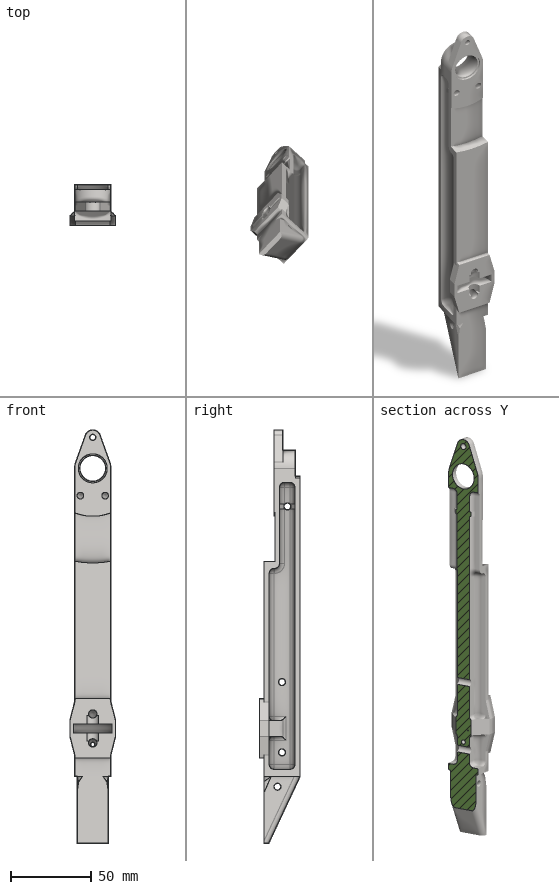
import cadquery as cq
import math

LENGTH = 257.2

bar_width = 22.6
bar_depth = 22.6
half_width = bar_width / 2
bar_bottom = 41.7
tip_face = 6.2
recess_face = 7.0
recess_bottom = 174.4

bore_z = 233.2
bore_radius = 8.0
counterbore_radius = 9.0
counterbore_depth = 1.3
knuckle_back = 19.5
washer_radius = 29.8
lug_back = 11.8
lug_radius = 5.0
lug_hole_z = 252.5
lug_hole_radius = 1.8
shoulder_radius = 10.8
shoulder_outer_z = 227.3
shoulder_tip_z = 228.4

blind_x = 7.7
blind_z = 216.3
blind_radius = 2.0
blind_depth = 1.8
drill_half_angle = 59.0

rim = 3.3
recess_rim = 2.8
web_half = 4.6
pocket_fillet = 3.0
pocket_top = 224.5
pocket_bottom = 46.0
gusset_z = 209.5
gusset_width = 3.0
gusset_leg = 2.8

cross_hole_radius = 2.0
cross_holes = [(14.7, gusset_z), (11.3, 100.3), (11.3, 56.5), (8.5, 35.2)]

foot_half_width = 9.8
foot_toe = 3.0
foot_fillet = 3.3
notch_x = 3.3
notch_bend_x = 1.0
notch_bend_z = 3.3
notch_y = 4.6
notch_z = 10.3

plate_z = 71.5
plate_front = -2.8
plate_back = 3.0
plate_half_width = 14.27
plate_end_half_width = 10.8
plate_half_height = 18.5
housing_half_height = 5.0
housing_fillet = 2.5
pick_margin = 0.03
roller_radius = 12.0
roller_half_height = 2.8
axle_radius = 3.5
axle_half_length = 8.0
pin_radius = 2.5
pin_offset = 9.0
pin_depth = 10.3
drain_radius = 1.3
drain_offset = 10.0


def extrude_y(outline, y_start, y_end):
    """Extrude a closed outline drawn in X and Z from y_start to y_end."""
    return outline.extrude(y_start - y_end).translate((0, y_start, 0))


def xz():
    return cq.Workplane("XZ")


def y_cylinder(x, z, radius, y_start, y_end):
    return extrude_y(xz().center(x, z).circle(radius), y_start, y_end)


def make_bar():
    """Round-topped bar, stepped at the front and back by arcs about the bore."""
    bar = extrude_y(
        xz()
        .moveTo(-half_width, bar_bottom)
        .lineTo(half_width, bar_bottom)
        .lineTo(half_width, bore_z)
        .threePointArc((0, bore_z + half_width), (-half_width, bore_z))
        .close(),
        0,
        bar_depth,
    )
    step_radius = bore_z - recess_bottom
    front_step = y_cylinder(0, bore_z, step_radius, 0, recess_face)
    washer = y_cylinder(0, bore_z, washer_radius, tip_face, recess_face)
    return bar.cut(front_step.cut(washer)).cut(make_back_step())


def make_back_step():
    """Space above the back of the bar: a round clearance between two bevelled tips."""
    tip_x = math.sqrt(shoulder_radius**2 - (bore_z - shoulder_tip_z) ** 2)
    outline = (
        xz()
        .moveTo(-half_width, shoulder_outer_z)
        .lineTo(-tip_x, shoulder_tip_z)
        .threePointArc((0, bore_z - shoulder_radius), (tip_x, shoulder_tip_z))
        .lineTo(half_width, shoulder_outer_z)
        .lineTo(half_width, LENGTH)
        .lineTo(-half_width, LENGTH)
        .close()
    )
    return extrude_y(outline, knuckle_back, bar_depth)


def make_lug():
    lug_z = LENGTH - lug_radius
    slope = math.asin((half_width - lug_radius) / (lug_z - bore_z))
    side, rise = math.cos(slope), math.sin(slope)
    outline = (
        xz()
        .moveTo(half_width * side, bore_z + half_width * rise)
        .lineTo(lug_radius * side, lug_z + lug_radius * rise)
        .threePointArc((0, LENGTH), (-lug_radius * side, lug_z + lug_radius * rise))
        .lineTo(-half_width * side, bore_z + half_width * rise)
        .close()
    )
    return extrude_y(outline, tip_face, lug_back)


def make_foot():
    foot = (
        cq.Workplane("YZ")
        .polyline([(0, 0), (foot_toe, 0), (bar_depth, bar_bottom), (0, bar_bottom)])
        .close()
        .extrude(foot_half_width, both=True)
    )
    foot = foot.edges(cq.selectors.ParallelDirSelector(
        cq.Vector(0, bar_depth - foot_toe, bar_bottom)
    )).fillet(foot_fillet)
    for side in (-1, 1):
        edge_x = side * foot_half_width
        corner = (edge_x, 0, bar_bottom)
        inner = (edge_x - side * notch_x, 0, bar_bottom)
        bend = (edge_x - side * notch_bend_x, 0, bar_bottom - notch_bend_z)
        lower = (edge_x, 0, bar_bottom - notch_z)
        rear = (edge_x, notch_y, bar_bottom)
        foot = foot.cut(tetrahedron(corner, inner, bend, rear))
        foot = foot.cut(tetrahedron(corner, bend, lower, rear))
    return foot


def tetrahedron(a, b, c, d):
    faces = []
    for corners in ((a, b, c), (a, b, d), (a, c, d), (b, c, d)):
        points = [cq.Vector(*corner) for corner in corners]
        faces.append(cq.Face.makeFromWires(cq.Wire.makePolygon(points, close=True)))
    return cq.Workplane(cq.Solid.makeSolid(cq.Shell.makeShell(faces)))


def make_plate():
    right = [
        (plate_end_half_width, -plate_half_height),
        (plate_half_width, -housing_half_height),
        (plate_half_width, housing_half_height),
        (plate_end_half_width, plate_half_height),
    ]
    left = [(-x, z) for x, z in reversed(right)]
    outline = xz().center(0, plate_z).polyline(right + left).close()
    return extrude_y(outline, plate_front, plate_back)


def make_housing():
    """Block with 45 degree flanks that carries the roller slot into the bar."""
    nose_half_width = web_half / 2
    nose = plate_back + plate_half_width - nose_half_width
    return (
        cq.Workplane("XY")
        .workplane(offset=plate_z)
        .polyline([
            (-plate_half_width, 0),
            (plate_half_width, 0),
            (plate_half_width, plate_back),
            (nose_half_width, nose),
            (-nose_half_width, nose),
            (-plate_half_width, plate_back),
        ])
        .close()
        .extrude(housing_half_height, both=True)
    )


def make_pocket(side, housing):
    """Side pocket, rounded at its floor and where the housing stands in it."""
    front_wall = recess_face + recess_rim
    back_wall = bar_depth - rim
    pocket = (
        cq.Workplane("YZ")
        .workplane(offset=side * web_half)
        .polyline([
            (back_wall, pocket_bottom),
            (back_wall, pocket_top),
            (front_wall, pocket_top),
            (front_wall, recess_bottom - rim),
            (rim, recess_bottom - rim),
            (rim, pocket_bottom),
        ])
        .close()
        .extrude(side * (half_width - web_half))
    )
    floor = "<X" if side > 0 else ">X"
    pocket = pocket.edges("|X").add(pocket.faces(floor).edges()).fillet(pocket_fillet).cut(housing)

    reach = housing_half_height + pick_margin
    housing_edges = [
        edge for edge in pocket.faces(floor).edges().vals()
        if abs(edge.Center().z - plate_z) < reach and edge.Length() < 2 * reach
    ]
    pocket = pocket.newObject(housing_edges).fillet(housing_fillet)
    return pocket.cut(make_gusset(side, front_wall, 1)).cut(make_gusset(side, back_wall, -1))


def make_gusset(side, wall, inward):
    """Flat 45 degree strip between the pocket's floor and a wall, beside the top cross hole."""
    floor_x = side * web_half
    return (
        cq.Workplane("XY")
        .workplane(offset=gusset_z)
        .polyline([
            (floor_x - side * gusset_leg, wall - inward * gusset_leg),
            (floor_x + 2 * side * gusset_leg, wall - inward * gusset_leg),
            (floor_x - side * gusset_leg, wall + 2 * inward * gusset_leg),
        ])
        .close()
        .extrude(gusset_width / 2, both=True)
    )


def seat_disc(radius, half_height):
    """Cylinder about the roller's axis, which lies in the plate's front face."""
    base = cq.Vector(0, plate_front, plate_z - half_height)
    return cq.Workplane(cq.Solid.makeCylinder(radius, 2 * half_height, base))


def make_roller_seat():
    seat = seat_disc(roller_radius, roller_half_height)
    seat = seat.union(seat_disc(axle_radius, axle_half_length))
    for side in (-1, 1):
        pin_z = plate_z + side * pin_offset
        seat = seat.union(drilled_hole(0, pin_z, pin_radius, plate_front, pin_depth))
    return seat.union(y_cylinder(0, plate_z - drain_offset, drain_radius, plate_front, bar_depth))


def make_bore():
    bore = y_cylinder(0, bore_z, bore_radius, tip_face, bar_depth)
    return bore.union(
        y_cylinder(0, bore_z, counterbore_radius, tip_face, tip_face + counterbore_depth)
    )


def drilled_hole(x, z, radius, y_start, depth):
    """Blind hole drilled along Y, with a conical end."""
    drill_tip = cq.Solid.makeCone(
        radius,
        0,
        radius / math.tan(math.radians(drill_half_angle)),
        cq.Vector(x, y_start + depth, z),
        cq.Vector(0, 1, 0),
    )
    return y_cylinder(x, z, radius, y_start, y_start + depth).union(cq.Workplane(drill_tip))


result = make_bar()
result = result.union(make_lug())
housing = make_housing()
for side in (-1, 1):
    result = result.cut(make_pocket(side, housing))
result = result.union(make_foot())
result = result.union(make_plate()).union(housing)
result = result.cut(make_roller_seat())
result = result.cut(make_bore())
result = result.cut(y_cylinder(0, lug_hole_z, lug_hole_radius, tip_face, lug_back))
for side in (-1, 1):
    result = result.cut(drilled_hole(side * blind_x, blind_z, blind_radius, tip_face, blind_depth))
for y, z in cross_holes:
    drill = cq.Workplane("YZ").center(y, z).circle(cross_hole_radius)
    result = result.cut(drill.extrude(bar_width, both=True))